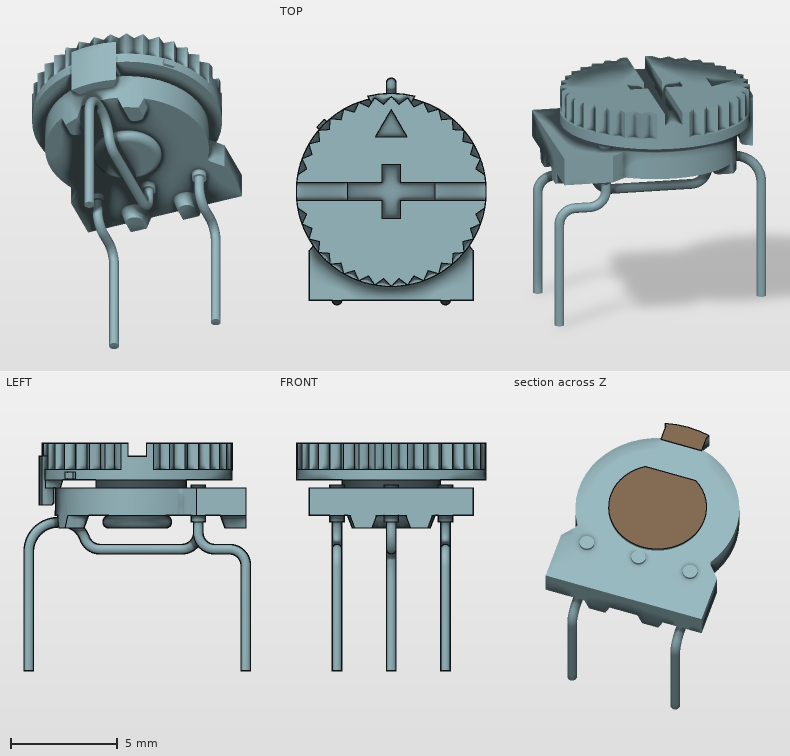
import cadquery as cq
import math

KNOB_TOP = 10.66
SLOT_FLOOR = 10.04
DEEP_SLOT_FLOOR = 9.81
TEETH_BOTTOM = 9.42
RIM_BOTTOM = 8.93
BASE_TOP = 8.56
BASE_BOTTOM = 7.27
FEET_BOTTOM = 6.67
COLLAR_TOP = 8.7
COLLAR_BOTTOM = 6.97

KNOB_RADIUS = 4.45
NOTCH_CLEARANCE = 0.43
TOOTH_ROOT_RADIUS = 4.09
TOOTH_PITCH = 10.0
PLAIN_HALF_ANGLE = 10.0
SLOT_WIDTH = 0.85
CROSS_LENGTH = 2.54
DEEP_SLOT_LENGTH = 4.07
POINTER_SIDE = 1.47
POINTER_BASE_Y = 2.56
POINTER_DEPTH = 0.43
HUB_RADIUS = 2.3
HUB_FLAT_Y = 1.94

TAB_OUTER_RADIUS = 4.59
TAB_INNER_RADIUS = 3.98
TAB_TOP = SLOT_FLOOR
TAB_BOTTOM = 7.75
TAB_HALF_WIDTH = 1.11
TAB_SIDE_ANGLE = 30.0
TAB_BOTTOM_CHAMFER = 0.11
WEB_HALF_WIDTH = 1.01
WEB_TOP_Y = 3.49
WEB_BOTTOM_Y = 3.59
WEB_BACK_Y = 4.33

NUB_WIDTH = 0.51
NUB_HEIGHT = 0.31
NUB_BOTTOM = 8.99
NUB_ANGLE = 136.0

BASE_RADIUS = 3.84
BASE_FRONT_Y = -5.1
SHOULDER_Y = -2.77
NECK_Y = -2.06
NECK_FILLET = 0.17
RIVET_RADIUS = 1.61

FOOT_FLARE = 0.22
FRONT_FOOT_X = (0.91, 1.71)
FRONT_FOOT_END_Y = -4.1
FRONT_FOOT_CORNER = 0.37
REAR_FOOT_X = (1.13, 1.82)
REAR_FOOT_END_Y = 2.49
REAR_FOOT_CORNER = 0.25

OVERALL_Y = 10.62
PIN_DIAMETER = 0.46
COLLAR_DIAMETER = 0.68
PIN_PITCH_X = 2.54
COLLAR_Y = -2.86
PIN_Y = (OVERALL_Y - PIN_DIAMETER) / 2
BEND_RADIUS = 0.77
RUN_Z = 5.69
MIDDLE_RISE_Y = 1.74
MIDDLE_TOP_Z = 6.95
MIDDLE_CREST_RADIUS = 1.1
MIDDLE_DROP_RADIUS = 1.38


def polar(radius, degrees):
    angle = math.radians(degrees)
    return (radius * math.cos(angle), radius * math.sin(angle))


def disc(radius, bottom, top):
    return cq.Workplane("XY").workplane(offset=bottom).circle(radius).extrude(top - bottom)


def box(length_x, length_y, bottom, top):
    return cq.Workplane("XY").workplane(offset=bottom).rect(length_x, length_y).extrude(top - bottom)


def base_plate(bottom, top):
    """Round plate with a wider rectangular block at the front."""
    neck_x = math.sqrt(BASE_RADIUS**2 - NECK_Y**2)
    plate = (
        cq.Workplane("XY")
        .workplane(offset=bottom)
        .moveTo(-neck_x, NECK_Y)
        .lineTo(-BASE_RADIUS, SHOULDER_Y)
        .lineTo(-BASE_RADIUS, BASE_FRONT_Y)
        .lineTo(BASE_RADIUS, BASE_FRONT_Y)
        .lineTo(BASE_RADIUS, SHOULDER_Y)
        .lineTo(neck_x, NECK_Y)
        .threePointArc((0, BASE_RADIUS), (-neck_x, NECK_Y))
        .close()
        .extrude(top - bottom)
    )
    for side in (-1, 1):
        neck_edge = cq.NearestToPointSelector((side * neck_x, NECK_Y, (bottom + top) / 2))
        plate = plate.edges(neck_edge).fillet(NECK_FILLET)
    return plate


def foot(side, x_range, end_y, corner):
    """Flaring foot with a rounded end toward the middle, cut off flush with the outside of the base."""
    x_inner, x_outer = x_range
    height = BASE_BOTTOM - FEET_BOTTOM
    flare_angle = math.degrees(math.atan2(FOOT_FLARE, height))
    far_y = math.copysign(BASE_RADIUS - BASE_FRONT_Y, end_y)
    plan = cq.Sketch().rect(x_outer - x_inner, abs(far_y - end_y)).vertices().fillet(corner)
    block = (
        cq.Workplane("XY")
        .workplane(offset=FEET_BOTTOM)
        .center(side * (x_inner + x_outer) / 2, (end_y + far_y) / 2)
        .placeSketch(plan)
        .extrude(height, taper=-flare_angle)
    )
    return block.intersect(base_plate(FEET_BOTTOM, BASE_BOTTOM))


def rivet():
    """Round-edged button under the base."""
    height = BASE_BOTTOM - FEET_BOTTOM
    edge_radius = height / 2
    return (
        cq.Workplane("XZ")
        .moveTo(0, FEET_BOTTOM)
        .lineTo(RIVET_RADIUS - edge_radius, FEET_BOTTOM)
        .threePointArc((RIVET_RADIUS, FEET_BOTTOM + edge_radius), (RIVET_RADIUS - edge_radius, BASE_BOTTOM))
        .lineTo(0, BASE_BOTTOM)
        .close()
        .revolve(360, (0, 0, 0), (0, 1, 0))
    )


def toothed_wheel():
    """Plain disc with V notches between the teeth, except beside the slot ends."""
    wheel = disc(KNOB_RADIUS, TEETH_BOTTOM, KNOB_TOP)
    notches_per_side = round((180 - 2 * PLAIN_HALF_ANGLE) / TOOTH_PITCH)
    for start in (PLAIN_HALF_ANGLE, 180 + PLAIN_HALF_ANGLE):
        for index in range(notches_per_side):
            first_tip = start + index * TOOTH_PITCH
            second_tip = polar(KNOB_RADIUS, first_tip + TOOTH_PITCH)
            root = polar(TOOTH_ROOT_RADIUS, first_tip + TOOTH_PITCH / 2)
            outside = polar(KNOB_RADIUS + NOTCH_CLEARANCE, first_tip + TOOTH_PITCH / 2)
            notch = (
                cq.Workplane("XY")
                .workplane(offset=TEETH_BOTTOM)
                .polyline([polar(KNOB_RADIUS, first_tip), root, second_tip, outside])
                .close()
                .extrude(KNOB_TOP - TEETH_BOTTOM)
            )
            wheel = wheel.cut(notch)
    return wheel


def driver_slot():
    """Through slot with a deeper middle stretch and a deep cross arm."""
    through = box(2 * KNOB_RADIUS, SLOT_WIDTH, SLOT_FLOOR, KNOB_TOP)
    deep = box(DEEP_SLOT_LENGTH, SLOT_WIDTH, DEEP_SLOT_FLOOR, KNOB_TOP)
    cross = box(SLOT_WIDTH, CROSS_LENGTH, DEEP_SLOT_FLOOR, KNOB_TOP)
    return through.union(deep).union(cross)


def pointer_recess():
    """Equilateral triangle pointing to the stop tab."""
    apex_y = POINTER_BASE_Y + POINTER_SIDE * math.sqrt(3) / 2
    return (
        cq.Workplane("XY")
        .workplane(offset=KNOB_TOP - POINTER_DEPTH)
        .polyline([(-POINTER_SIDE / 2, POINTER_BASE_Y), (POINTER_SIDE / 2, POINTER_BASE_Y), (0, apex_y)])
        .close()
        .extrude(POINTER_DEPTH)
    )


def stop_tab():
    """Curved tab hanging behind the base, with a web that rests on the base."""
    corner_y = math.sqrt(TAB_OUTER_RADIUS**2 - TAB_HALF_WIDTH**2)
    vertex_y = corner_y - TAB_HALF_WIDTH / math.tan(math.radians(TAB_SIDE_ANGLE))
    tab = (
        cq.Workplane("XY")
        .workplane(offset=TAB_BOTTOM)
        .moveTo(0, vertex_y)
        .lineTo(TAB_HALF_WIDTH, corner_y)
        .threePointArc((0, TAB_OUTER_RADIUS), (-TAB_HALF_WIDTH, corner_y))
        .close()
        .extrude(TAB_TOP - TAB_BOTTOM)
        .cut(disc(TAB_INNER_RADIUS, TAB_BOTTOM, TAB_TOP))
    )
    inner_bottom_edge = cq.NearestToPointSelector((0, TAB_INNER_RADIUS, TAB_BOTTOM))
    tab = tab.edges(inner_bottom_edge).chamfer(TAB_BOTTOM_CHAMFER)
    web = (
        cq.Workplane("YZ")
        .polyline(
            [
                (WEB_TOP_Y, RIM_BOTTOM),
                (WEB_BOTTOM_Y, BASE_TOP),
                (WEB_BACK_Y, BASE_TOP),
                (WEB_BACK_Y, RIM_BOTTOM),
            ]
        )
        .close()
        .extrude(WEB_HALF_WIDTH, both=True)
    )
    return tab.union(web)


def index_nub():
    """Small block standing out of the rim, with its inner part inside the rim."""
    nub = cq.Workplane("XY").box(TAB_OUTER_RADIUS, NUB_WIDTH, NUB_HEIGHT, centered=(False, True, False))
    inner = cq.Workplane("XY").circle(TOOTH_ROOT_RADIUS).extrude(NUB_HEIGHT)
    return nub.cut(inner).rotate((0, 0, 0), (0, 0, 1), NUB_ANGLE).translate((0, 0, NUB_BOTTOM))


def knob():
    """Toothed wheel on a plain rim, with a hub that has a flat toward the stop tab."""
    behind_flat = box(2 * HUB_RADIUS, 2 * HUB_RADIUS, BASE_TOP, RIM_BOTTOM)
    behind_flat = behind_flat.translate((0, HUB_FLAT_Y + HUB_RADIUS, 0))
    hub = disc(HUB_RADIUS, BASE_TOP, RIM_BOTTOM).cut(behind_flat)
    rim = disc(KNOB_RADIUS, RIM_BOTTOM, TEETH_BOTTOM)
    wheel = toothed_wheel().cut(driver_slot()).cut(pointer_recess())
    return wheel.union(rim).union(hub).union(stop_tab()).union(index_nub())


def pin_collar(x):
    """Collar that fills the pin hole of the base and stands out above and below it."""
    return disc(COLLAR_DIAMETER / 2, COLLAR_BOTTOM, COLLAR_TOP).translate((x, COLLAR_Y, 0))


def housing():
    """Base with its feet and rivet, joined to the knob, with a hole for each pin collar."""
    body = base_plate(BASE_BOTTOM, BASE_TOP).union(rivet()).union(knob())
    for side in (-1, 1):
        body = body.union(foot(side, FRONT_FOOT_X, FRONT_FOOT_END_Y, FRONT_FOOT_CORNER))
        body = body.union(foot(side, REAR_FOOT_X, REAR_FOOT_END_Y, REAR_FOOT_CORNER))
    for x in (-PIN_PITCH_X, 0, PIN_PITCH_X):
        body = body.cut(pin_collar(x))
    return body


def bent_pin(x, path):
    """Collar with a round wire that follows a path in the YZ plane from the collar bottom."""
    wire = (
        cq.Workplane("XY")
        .workplane(offset=COLLAR_BOTTOM)
        .center(x, COLLAR_Y)
        .circle(PIN_DIAMETER / 2)
        .sweep(path)
    )
    return pin_collar(x).union(wire)


def side_pin(x):
    """Pin that steps forward in an S bend and then goes straight down."""
    path = (
        cq.Workplane("YZ", origin=(x, 0, 0))
        .moveTo(COLLAR_Y, COLLAR_BOTTOM)
        .lineTo(COLLAR_Y, RUN_Z + BEND_RADIUS)
        .radiusArc((COLLAR_Y - BEND_RADIUS, RUN_Z), BEND_RADIUS)
        .lineTo(-PIN_Y + BEND_RADIUS, RUN_Z)
        .radiusArc((-PIN_Y, RUN_Z - BEND_RADIUS), -BEND_RADIUS)
        .lineTo(-PIN_Y, 0)
    )
    return bent_pin(x, path)


def middle_pin():
    """Pin that runs back under the base, rises to clear its rear and then goes straight down."""
    rise_radii = BEND_RADIUS + MIDDLE_CREST_RADIUS
    rise_angle = math.acos(1 - (MIDDLE_TOP_Z - RUN_Z) / rise_radii)
    turn_y = MIDDLE_RISE_Y + BEND_RADIUS * math.sin(rise_angle)
    turn_z = RUN_Z + BEND_RADIUS * (1 - math.cos(rise_angle))
    crest_y = MIDDLE_RISE_Y + rise_radii * math.sin(rise_angle)
    path = (
        cq.Workplane("YZ")
        .moveTo(COLLAR_Y, COLLAR_BOTTOM)
        .lineTo(COLLAR_Y, RUN_Z + BEND_RADIUS)
        .radiusArc((COLLAR_Y + BEND_RADIUS, RUN_Z), -BEND_RADIUS)
        .lineTo(MIDDLE_RISE_Y, RUN_Z)
        .radiusArc((turn_y, turn_z), -BEND_RADIUS)
        .radiusArc((crest_y, MIDDLE_TOP_Z), MIDDLE_CREST_RADIUS)
        .lineTo(PIN_Y - MIDDLE_DROP_RADIUS, MIDDLE_TOP_Z)
        .radiusArc((PIN_Y, MIDDLE_TOP_Z - MIDDLE_DROP_RADIUS), MIDDLE_DROP_RADIUS)
        .lineTo(PIN_Y, 0)
    )
    return bent_pin(0, path)


side_pins = [side_pin(x) for x in (-PIN_PITCH_X, PIN_PITCH_X)]

result = cq.Compound.makeCompound(
    [housing().val(), middle_pin().val(), *[pin.val() for pin in side_pins]]
)